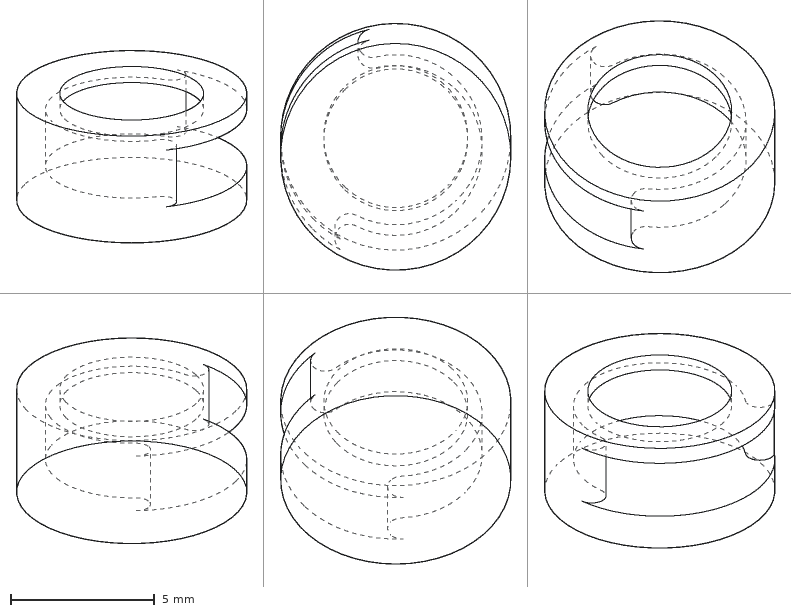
import cadquery as cq
import math

outer_radius = 4.0
height = 4.0

base_thickness = 1.28
ring_thickness = 0.6
wall_height = height - base_thickness - ring_thickness

top_hole_diameter = 5.0
pocket_radius = 3.0
opening_direction = 45.0
opening_half_angle = 69.5

tip_radius = (outer_radius - pocket_radius) / 2
wall_middle_radius = (outer_radius + pocket_radius) / 2


def polar(radius, angle):
    """Point at a radius and an angle in degrees from +X."""
    turn = math.radians(angle)
    return (radius * math.cos(turn), radius * math.sin(turn))


def tip_crown(angle, towards_opening):
    """Furthest point of a rounded wall tip, on the side of the opening."""
    x, y = polar(wall_middle_radius, angle)
    dx, dy = polar(tip_radius, angle + towards_opening)
    return (x + dx, y + dy)


def make_wall():
    """C-shaped wall around the pocket, with fully rounded tips."""
    start = opening_direction + opening_half_angle
    end = opening_direction - opening_half_angle
    back = opening_direction + 180
    return (
        cq.Workplane("XY")
        .workplane(offset=base_thickness)
        .moveTo(*polar(outer_radius, start))
        .threePointArc(polar(outer_radius, back), polar(outer_radius, end))
        .threePointArc(tip_crown(end, 90), polar(pocket_radius, end))
        .threePointArc(polar(pocket_radius, back), polar(pocket_radius, start))
        .threePointArc(tip_crown(start, -90), polar(outer_radius, start))
        .close()
        .extrude(wall_height)
    )


base = cq.Workplane("XY").circle(outer_radius).extrude(base_thickness)

top_ring = (
    cq.Workplane("XY")
    .workplane(offset=height - ring_thickness)
    .circle(outer_radius)
    .circle(top_hole_diameter / 2)
    .extrude(ring_thickness)
)

result = base.union(make_wall()).union(top_ring)